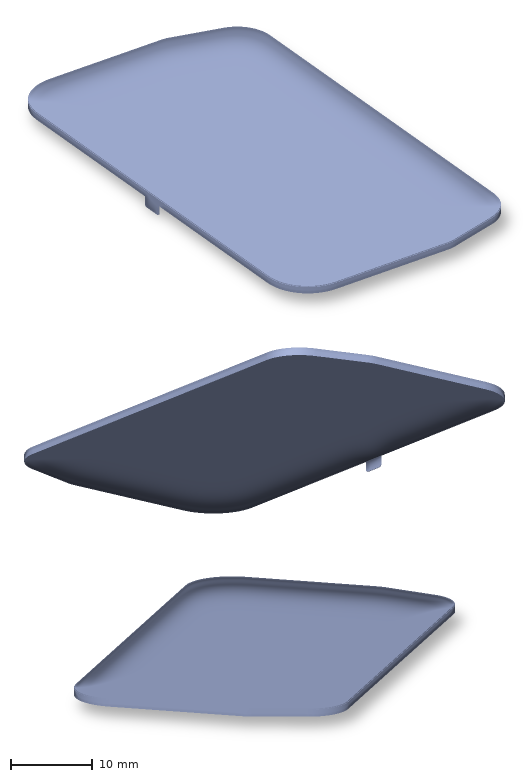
import cadquery as cq

length = 61.23
width = 34.51
plate_thickness = 1.0

step_height = 0.1
step_inset = 0.08

taper_inset = 3.0
taper_depth = 11.1
front_corner_radius = 6.0
rear_corner_radius = 5.0
taper_start_radius = 4.3

overall_height = 2.4
tab_drop = overall_height - plate_thickness
tab_width = 3.0
tab_thickness = 0.1
tab_corner_radius = 0.4
tab_offset_x = -0.1

half_length = length / 2
half_width = width / 2
taper_start_y = half_width - taper_depth


def round_corners(body, y, radius):
    """Round the pair of upright edges that stand at the given Y."""
    margin = 0.01
    band = cq.selectors.BoxSelector(
        (-length, y - margin, -overall_height),
        (length, y + margin, overall_height),
    )
    return body.edges("|Z").edges(band).fillet(radius)


def make_base():
    """Main layer of the plate, up to the step."""
    rear_half_length = half_length - taper_inset
    outline = [
        (-half_length, -half_width),
        (half_length, -half_width),
        (half_length, taper_start_y),
        (rear_half_length, half_width),
        (-rear_half_length, half_width),
        (-half_length, taper_start_y),
    ]
    base = cq.Workplane("XY").polyline(outline).close().extrude(plate_thickness - step_height)
    base = round_corners(base, -half_width, front_corner_radius)
    base = round_corners(base, half_width, rear_corner_radius)
    return round_corners(base, taper_start_y, taper_start_radius)


def add_top_layer(base):
    """Add the thin top layer, set in from the base outline all round."""
    return base.faces(">Z").wires().toPending().offset2D(-step_inset).extrude(step_height)


def make_tab():
    tab = cq.Workplane("XY").box(tab_width, tab_thickness, tab_drop, centered=(True, False, False))
    tab = tab.edges("|Y and <Z").fillet(tab_corner_radius)
    return tab.translate((tab_offset_x, -half_width, -tab_drop))


plate = add_top_layer(make_base())
result = plate.union(make_tab())